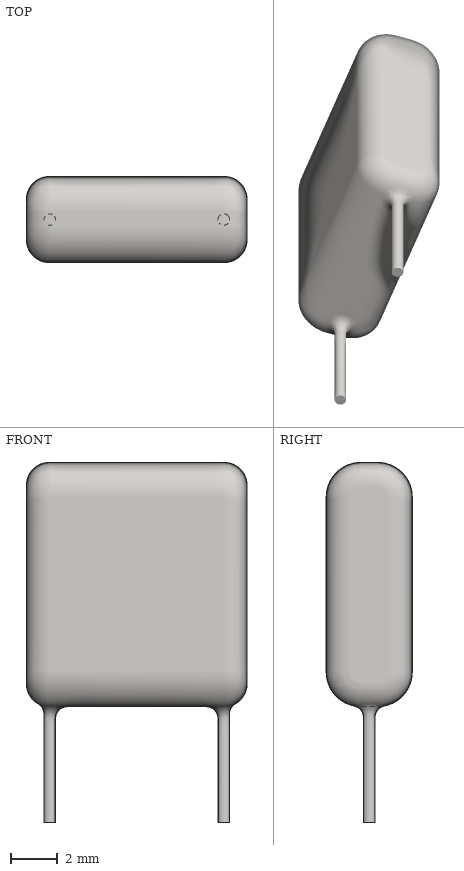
import cadquery as cq

total_height = 15.5
body_width = 9.5
body_depth = 3.7
body_height = 10.51

profile_radius = 1.5
end_radius = 1.0

lead_radius = 0.25
lead_length = total_height - body_height
lead_offset = body_width / 2 - end_radius
lead_embed = 0.46
collar_radius = 0.5


def make_body():
    """Rounded block with its underside at Z = 0."""
    block = cq.Workplane("XY").box(
        body_width, body_depth, body_height, centered=(True, True, False)
    )
    profile_rounded = block.edges("|X").fillet(profile_radius)
    return profile_rounded.faces("<X or >X").edges().fillet(end_radius)


def make_lead(x):
    """Round wire running from inside the body down to its free end."""
    base = cq.Workplane("XY", origin=(x, 0, -lead_length))
    return base.circle(lead_radius).extrude(lead_length + lead_embed)


def collar_edges(part, x):
    """Edges where the lead at the given x meets the body."""
    reach = 2 * lead_radius
    lower = (x - reach, -reach, -reach)
    upper = (x + reach, reach, reach)
    return part.edges(cq.selectors.BoxSelector(lower, upper, boundingbox=True))


result = make_body()
for lead_x in (-lead_offset, lead_offset):
    result = result.union(make_lead(lead_x))
    result = collar_edges(result, lead_x).fillet(collar_radius)